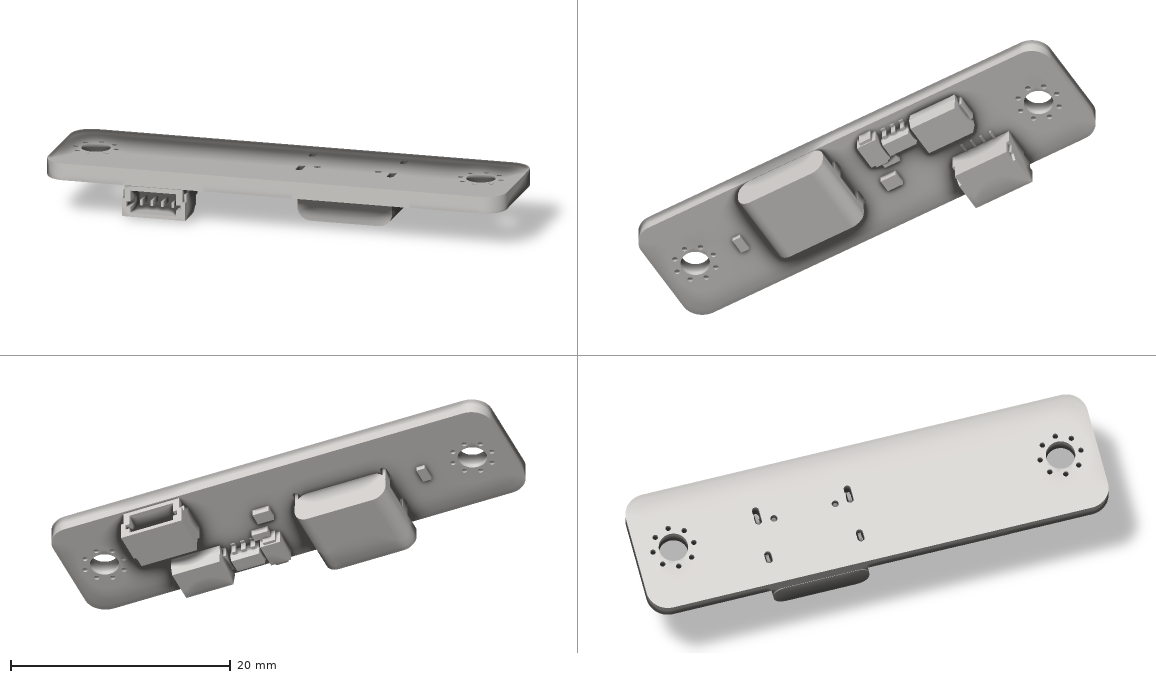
import cadquery as cq


board_length = 43.5
board_width = 11.5
board_thickness = 1.6
board_corner_radius = 2.0
mount_hole_diameter = 2.7
mount_hole_inset = 3.5
mount_hole_x = board_length / 2 - mount_hole_inset
via_diameter = 0.5
via_count = 8
via_ring_radius = 1.925

usb_x = 5.77
usb_width = 9.0
usb_back_y = -1.55
usb_front_y = board_width / 2
usb_bottom_z = -3.26
usb_top_z = -0.06
usb_corner_radius = 1.28
usb_tab_thickness = 0.3
usb_tab_length = 1.04
usb_tab_rise = 1.0
usb_tab_y = (-1.0, 3.12)
usb_peg_diameter = 0.5
usb_peg_spacing = 5.78
usb_peg_y = -0.47
usb_peg_rise = 1.2

slot_width = 0.65
slot_spacing = 8.65
slot_spans_y = ((-1.95, -0.23), (2.53, 3.72))
peg_hole_diameter = 0.65

connector_x = -11.24
connector_width = 6.0
connector_height = 3.0
connector_standoff = 0.1
connector_front_y = -5.6
connector_back_y = -1.4
cavity_width = 4.3
cavity_top_z = -0.52
cavity_bottom_z = -2.62
cavity_depth = 3.0
groove_depth = 0.42
groove_length = 1.9
groove_top_z = -1.57
groove_bottom_z = -2.1
side_recess_depth = 0.26
front_recess_upper_y = -4.13
front_recess_upper_z = -0.66
front_recess_lower_y = -5.05
front_recess_lower_z = -1.31
back_recess_y = -1.9
back_recess_top_z = -1.57
back_recess_bend_y = -2.2
back_recess_bend_z = -2.5
back_recess_bottom_y = -2.6
contact_pitch = 1.0
contact_count = 4
contact_width = 0.22
contact_height = 0.5
contact_z = -1.95
contact_length = 1.8
contact_foot_length = 0.85
contact_foot_thickness = 0.2

diode_right_x = -7.17
diode_length = 5.4
diode_y = 3.22
diode_width = 3.5
diode_parting_z = -1.05
diode_height = 2.23
diode_standoff = 0.26
diode_lead_width = 2.0
diode_lead_thickness = 0.26
diode_foot_length = 1.0
diode_bend_radius = 0.22
diode_draft = 5.0

chip_x = -5.43
chip_y = 3.35
chip_body_length = 2.9
chip_body_width = 1.6
chip_height = 1.57
chip_standoff = 0.12
chip_parting_z = -0.92
chip_draft = 8.0
chip_lead_pitch = 0.95
chip_leads_per_side = 3
chip_lead_width = 0.42
chip_lead_thickness = 0.15
chip_lead_span = 2.8
chip_foot_length = 0.4

small_diode_x = -2.77
small_diode_width = 1.97
small_diode_y = 3.5
small_diode_length = 2.6
small_diode_height = 1.31
small_diode_lead_width = 1.2
small_diode_lead_length = 0.3
small_diode_lead_bottom_z = -1.18

tall_chip_height = 0.65
left_chip = (-3.35, 1.5, 1.6, 0.8, tall_chip_height)
middle_chip = (-2.2, -0.72, 1.6, 1.3, tall_chip_height)
right_chip = (13.43, 0.0, 0.8, 1.6, 0.45)


def block(x_range, y_range, z_range):
    """A box that spans the given ranges."""
    (x0, x1), (y0, y1), (z0, z1) = (sorted(r) for r in (x_range, y_range, z_range))
    return cq.Workplane("XY").box(x1 - x0, y1 - y0, z1 - z0, centered=False).translate((x0, y0, z0))


def around(centre, size):
    """The range of the given size about a centre."""
    return (centre - size / 2, centre + size / 2)


def moulded_body(x, y, length, width, top_z, parting_z, bottom_z, draft):
    """A moulded package, widest at its parting line and drafted above and below it."""
    parting = cq.Workplane("XY", origin=(x, y, parting_z))
    upper = parting.rect(length, width).extrude(top_z - parting_z, taper=draft)
    lower = parting.rect(length, width).extrude(bottom_z - parting_z, taper=draft)
    return upper.union(lower)


def make_board():
    plate = cq.Workplane("XY").rect(board_length, board_width).extrude(board_thickness)
    plate = plate.edges("|Z").fillet(board_corner_radius)
    for x in (-mount_hole_x, mount_hole_x):
        mount = cq.Workplane("XY", origin=(x, 0, 0))
        plate = plate.cut(mount.circle(mount_hole_diameter / 2).extrude(board_thickness))
        vias = mount.polarArray(via_ring_radius, 0, 360, via_count).circle(via_diameter / 2)
        plate = plate.cut(vias.extrude(board_thickness))
    for y0, y1 in slot_spans_y:
        slots = cq.Workplane("XY").pushPoints(
            [(usb_x + side * slot_spacing / 2, (y0 + y1) / 2) for side in (-1, 1)]
        )
        plate = plate.cut(slots.slot2D(y1 - y0, slot_width, 90).extrude(board_thickness))
    peg_holes = cq.Workplane("XY", origin=(usb_x, usb_peg_y, 0)).rarray(usb_peg_spacing, 1, 2, 1)
    return plate.cut(peg_holes.circle(peg_hole_diameter / 2).extrude(board_thickness))


def make_usb_socket():
    socket = block(around(usb_x, usb_width), (usb_back_y, usb_front_y), (usb_bottom_z, usb_top_z))
    socket = socket.edges("|Y").fillet(usb_corner_radius)
    tab_root_z = (usb_bottom_z + usb_top_z) / 2
    tab_x = (usb_width - usb_tab_thickness) / 2
    for side in (-1, 1):
        for y in usb_tab_y:
            socket = socket.union(
                block(
                    around(usb_x + side * tab_x, usb_tab_thickness),
                    around(y, usb_tab_length),
                    (tab_root_z, usb_tab_rise),
                )
            )
    pegs = cq.Workplane("XY", origin=(usb_x, usb_peg_y, tab_root_z)).rarray(usb_peg_spacing, 1, 2, 1)
    return socket.union(pegs.circle(usb_peg_diameter / 2).extrude(usb_peg_rise - tab_root_z))


def connector_side_recesses(side):
    """Shallow recesses in one end wall: a stepped one at the top front, and one at the bottom back."""
    outer_x = connector_x + side * connector_width / 2
    front_step = [
        (connector_front_y, 0),
        (front_recess_upper_y, 0),
        (front_recess_upper_y, front_recess_upper_z),
        (front_recess_lower_y, front_recess_upper_z),
        (front_recess_lower_y, front_recess_lower_z),
        (connector_front_y, front_recess_lower_z),
    ]
    back_step = [
        (connector_back_y, back_recess_top_z),
        (back_recess_y, back_recess_top_z),
        (back_recess_y, back_recess_bend_z),
        (back_recess_bend_y, back_recess_bend_z),
        (back_recess_bottom_y, -connector_height),
        (connector_back_y, -connector_height),
    ]
    plane = cq.Workplane("YZ", origin=(outer_x, 0, 0))
    depth = -side * side_recess_depth
    return [plane.polyline(step).close().extrude(depth) for step in (front_step, back_step)]


def make_connector():
    housing = block(
        around(connector_x, connector_width),
        (connector_front_y, connector_back_y),
        (-connector_height, -connector_standoff),
    )
    cavity_y = (connector_front_y, connector_front_y + cavity_depth)
    housing = housing.cut(
        block(around(connector_x, cavity_width), cavity_y, (cavity_bottom_z, cavity_top_z))
    )
    grooves_width = cavity_width + 2 * groove_depth
    groove_y = (connector_front_y, connector_front_y + groove_length)
    housing = housing.cut(
        block(around(connector_x, grooves_width), groove_y, (groove_bottom_z, groove_top_z))
    )
    for side in (-1, 1):
        for recess in connector_side_recesses(side):
            housing = housing.cut(recess)
    for i in range(contact_count):
        x_range = around(connector_x + (i - (contact_count - 1) / 2) * contact_pitch, contact_width)
        pin_y = (cavity_y[1] - contact_length, connector_back_y)
        housing = housing.union(block(x_range, pin_y, around(contact_z, contact_height)))
        foot_y = around(connector_back_y, 2 * contact_foot_length)
        housing = housing.union(block(x_range, foot_y, (-contact_foot_thickness, 0)))
    return housing


def make_diode():
    x = diode_right_x - diode_length / 2
    body_length = diode_length - 2 * diode_lead_thickness
    diode = moulded_body(
        x, diode_y, body_length, diode_width, -diode_standoff, diode_parting_z, -diode_height, diode_draft
    )
    for side in (-1, 1):
        end_x = x + side * diode_length / 2
        lead_y = around(diode_y, diode_lead_width)
        upright = block((end_x, end_x - side * diode_lead_thickness), lead_y, (diode_parting_z, 0))
        foot = block((end_x, end_x - side * diode_foot_length), lead_y, (-diode_standoff, 0))
        bend = ">X and >Z" if side > 0 else "<X and >Z"
        diode = diode.union(upright.union(foot).edges(bend).fillet(diode_bend_radius))
    return diode


def make_six_lead_chip():
    chip = moulded_body(
        chip_x, chip_y, chip_body_length, chip_body_width,
        -chip_standoff, chip_parting_z, -chip_height, chip_draft,
    )
    for side in (-1, 1):
        tip_y = chip_y + side * chip_lead_span / 2
        heel_y = tip_y - side * chip_foot_length
        for i in range(chip_leads_per_side):
            offset = (i - (chip_leads_per_side - 1) / 2) * chip_lead_pitch
            x_range = around(chip_x + offset, chip_lead_width)
            foot = block(x_range, (tip_y, heel_y), (-chip_lead_thickness, 0))
            shank_y = (heel_y, heel_y + side * chip_lead_thickness)
            shank = block(x_range, shank_y, (chip_parting_z, 0))
            arm_z = (chip_parting_z, chip_parting_z + chip_lead_thickness)
            arm = block(x_range, (shank_y[1], chip_y), arm_z)
            chip = chip.union(foot).union(shank).union(arm)
    return chip


def make_small_diode():
    body = block(
        around(small_diode_x, small_diode_width),
        around(small_diode_y, small_diode_length),
        (-small_diode_height, 0),
    )
    leads = block(
        around(small_diode_x, small_diode_lead_width),
        around(small_diode_y, small_diode_length + 2 * small_diode_lead_length),
        (small_diode_lead_bottom_z, 0),
    )
    return body.union(leads)


def make_plain_chip(x, y, length, width, height):
    return block(around(x, length), around(y, width), (-height, 0))


board = make_board()
usb_socket = make_usb_socket()
connector = make_connector()
diode = make_diode()
six_lead_chip = make_six_lead_chip()
small_diode = make_small_diode()
plain_chips = [make_plain_chip(*sizes) for sizes in (left_chip, middle_chip, right_chip)]

result = cq.Compound.makeCompound(
    [
        board.val(),
        usb_socket.val(),
        connector.val(),
        diode.val(),
        six_lead_chip.val(),
        small_diode.val(),
        *[chip.val() for chip in plain_chips],
    ]
)